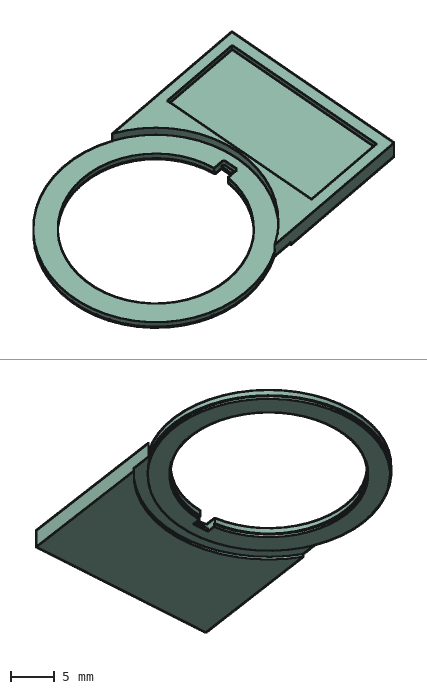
import cadquery as cq

plate_width = 24.9
plate_thickness = 2.45
plate_back_y = 26.935

ring_diameter = 28.03
ring_top_z = 1.2
bore_diameter = 22.4

rim_diameter = 27.7
rim_bore_diameter = bore_diameter + (ring_diameter - rim_diameter)
relief_diameter = 30.9
relief_height = 0.4

recess_width = 22.1
recess_length = 11.1
recess_margin = 1.5
recess_depth = 0.75

notch_width = 2.1
notch_ledge_front_y = 12.4
notch_back_y = 12.8
notch_ledge_z = relief_height
notch_corner_radius = 0.25


def cylinder(diameter, bottom_z, top_z):
    """Solid disc about the Z axis between two heights."""
    return cq.Workplane("XY").workplane(offset=bottom_z).circle(diameter / 2).extrude(top_z - bottom_z)


def slab(width, front_y, back_y, bottom_z, top_z):
    """Box centred in X between the given Y and Z limits."""
    return (
        cq.Workplane("XY")
        .box(width, back_y - front_y, top_z - bottom_z, centered=(True, False, False))
        .translate((0, front_y, bottom_z))
    )


def make_plate():
    """Plate with its front edge scooped around the ring and its underside relieved."""
    plate = slab(plate_width, 0, plate_back_y, 0, plate_thickness)
    ring_seat = cylinder(ring_diameter, 0, plate_thickness)
    relief = cylinder(relief_diameter, 0, relief_height)
    return plate.cut(ring_seat).cut(relief)


def make_ring():
    """Ring body standing on a rim that is slightly inset inside and outside."""
    body = cylinder(ring_diameter, relief_height, ring_top_z)
    rim = cylinder(rim_diameter, 0, relief_height)
    return body.union(rim)


def make_recess():
    """Rectangular pocket that holds the label."""
    back_y = plate_back_y - recess_margin
    floor_z = plate_thickness - recess_depth
    return slab(recess_width, back_y - recess_length, back_y, floor_z, plate_thickness)


def make_notch():
    """Key notch: open slot through the ring, ending in a shallower ledge with rounded corners."""
    slot = slab(notch_width, 0, notch_ledge_front_y, 0, ring_top_z)
    upper = slab(notch_width, 0, notch_back_y, notch_ledge_z, ring_top_z)
    upper = upper.edges("|Z and >Y").fillet(notch_corner_radius)
    return slot.union(upper)


def make_bore():
    """Through bore, slightly wider where it passes through the rim."""
    return cylinder(bore_diameter, 0, ring_top_z).union(cylinder(rim_bore_diameter, 0, relief_height))


result = make_plate().union(make_ring()).cut(make_bore()).cut(make_notch()).cut(make_recess())